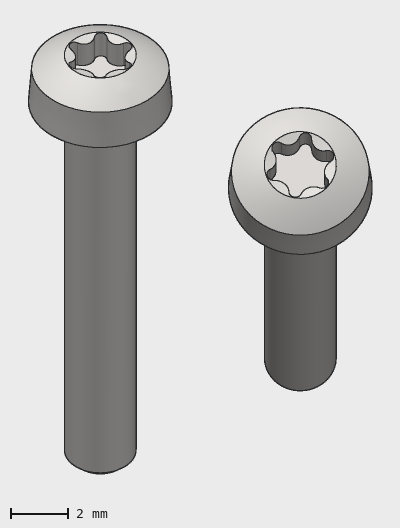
import cadquery as cq
import math


shank_radius = 1.25
shank_length = 16.0
tip_chamfer = 0.31

head_height = 2.1
head_base_radius = 2.5
rim_height = 1.5
rim_radius = 2.39
socket_mouth_radius = 1.25

lobe_count = 6
lobe_tip_distance = 1.22
valley_distance = 0.86
lobe_fillet_radius = 0.22
socket_floor = 1.05
countersink_angle = 15.0


def polar(radius, angle):
    """Point in the XY plane at the given distance and angle (radians)."""
    return (radius * math.cos(angle), radius * math.sin(angle))


def make_body():
    """Shank and domed head, revolved about the Z axis."""
    dome_rise = head_height - rim_height
    rim_above_center = (rim_radius**2 - socket_mouth_radius**2 - dome_rise**2) / (2 * dome_rise)
    dome_radius = math.hypot(rim_radius, rim_above_center)
    dome_mid_radius = (rim_radius + socket_mouth_radius) / 2
    dome_center = rim_height - rim_above_center
    dome_mid_height = dome_center + math.sqrt(dome_radius**2 - dome_mid_radius**2)

    return (
        cq.Workplane("XZ")
        .moveTo(0, -shank_length)
        .lineTo(shank_radius - tip_chamfer, -shank_length)
        .lineTo(shank_radius, -shank_length + tip_chamfer)
        .lineTo(shank_radius, 0)
        .lineTo(head_base_radius, 0)
        .lineTo(rim_radius, rim_height)
        .threePointArc((dome_mid_radius, dome_mid_height), (socket_mouth_radius, head_height))
        .lineTo(0, head_height)
        .close()
        .revolve(360, (0, 0, 0), (0, 1, 0))
    )


def make_lobed_socket():
    """Six-lobed prism with tangent arcs, one lobe pointing along +Y."""
    half_pitch = math.pi / lobe_count
    lobe_center = lobe_tip_distance - lobe_fillet_radius
    valley_radius = (
        lobe_center**2
        + valley_distance**2
        - 2 * lobe_center * valley_distance * math.cos(half_pitch)
        - lobe_fillet_radius**2
    ) / (2 * (lobe_fillet_radius + lobe_center * math.cos(half_pitch) - valley_distance))
    valley_center = valley_distance + valley_radius

    share = lobe_fillet_radius / (lobe_fillet_radius + valley_radius)
    valley_x, valley_y = polar(valley_center, half_pitch)
    tangent_x = lobe_center + share * (valley_x - lobe_center)
    tangent_y = share * valley_y
    tangent_distance = math.hypot(tangent_x, tangent_y)
    tangent_angle = math.atan2(tangent_y, tangent_x)

    first_lobe = math.pi / 2
    outline = cq.Workplane("XY", origin=(0, 0, socket_floor))
    outline = outline.moveTo(*polar(tangent_distance, first_lobe - tangent_angle))
    for index in range(lobe_count):
        lobe = first_lobe + 2 * half_pitch * index
        valley = lobe + half_pitch
        next_lobe = valley + half_pitch
        outline = outline.threePointArc(
            polar(lobe_tip_distance, lobe),
            polar(tangent_distance, lobe + tangent_angle),
        )
        outline = outline.threePointArc(
            polar(valley_distance, valley),
            polar(tangent_distance, next_lobe - tangent_angle),
        )
    return outline.close().extrude(head_height - socket_floor)


def make_countersink():
    """Shallow cone that opens the socket at the top of the head."""
    depth = socket_mouth_radius * math.tan(math.radians(countersink_angle))
    return (
        cq.Workplane("XZ")
        .moveTo(0, head_height - depth)
        .lineTo(socket_mouth_radius, head_height)
        .lineTo(0, head_height)
        .close()
        .revolve(360, (0, 0, 0), (0, 1, 0))
    )


result = make_body().cut(make_countersink()).cut(make_lobed_socket())